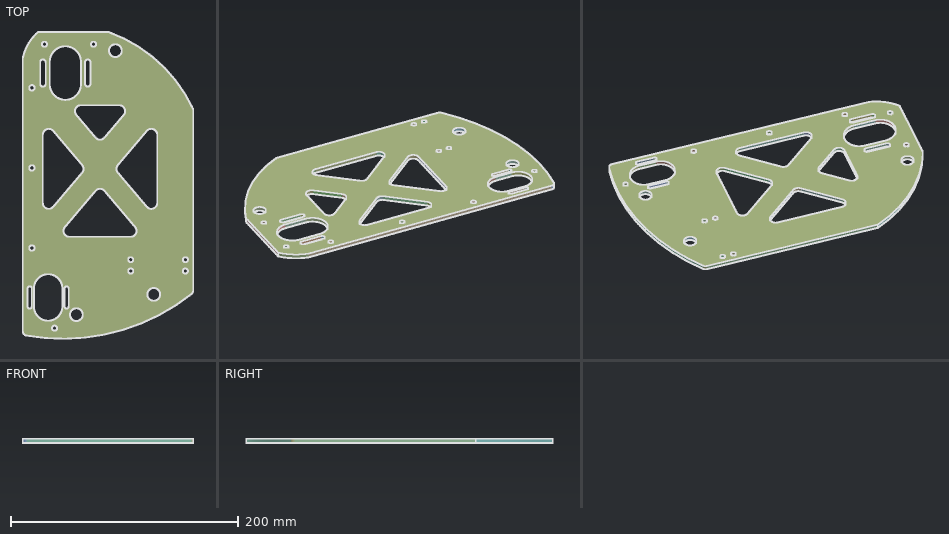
import cadquery as cq
import math

width = 150.0
height = 270.0
thickness = 4.0

left_arc_start = (0, 247.0)
left_arc_middle = (5.0, 260.0)
top_edge_left = 13.5
top_edge_right = 75.5
right_arc_middle = (112.3, 249.7)
right_edge_top = 202.0
bottom_arc_radius = 182.2
bottom_arc_center_x = 35.4
lower_corner_radius = 4.0

window_left = 17.8
window_right = 118.2
window_middle_x = (window_left + window_right) / 2
strut_slope = 1.18
side_window_depth = 37.2
side_window_center_y = 149.5
top_window_edge = 205.5
top_window_depth = 33.0
bottom_window_edge = 90.0
bottom_window_depth = 44.8
window_corner_radius = 5.0

screw_hole_diameter = 4.3
edge_hole_diameter = 4.5
large_hole_diameter = 11.0
edge_hole_x = 8.0
edge_hole_bottom = 80.0
edge_hole_pitch = 70.5
edge_hole_count = 3
bracket_hole_xs = (95.0, 143.0)
bracket_hole_ys = (59.7, 69.6)
end_hole_points = [(19.2, 259.0), (62.3, 259.0), (28.0, 9.5)]
large_hole_points = [(81.5, 253.5), (115.3, 39.1), (47.2, 21.3)]

upper_slots = dict(
    center=(37.5, 233.7), wide_size=(27.3, 47.0), narrow_size=(4.5, 23.8), narrow_spacing=19.7
)
lower_slots = dict(
    center=(22.5, 36.5), wide_size=(24.8, 40.8), narrow_size=(3.5, 19.5), narrow_spacing=16.2
)


def bottom_arc_y(x):
    """Height of the bottom arc, whose lowest point is at y = 0."""
    offset = x - bottom_arc_center_x
    return bottom_arc_radius - math.sqrt(bottom_arc_radius**2 - offset**2)


def make_plate():
    plate = (
        cq.Workplane("XY")
        .moveTo(0, bottom_arc_y(0))
        .lineTo(*left_arc_start)
        .threePointArc(left_arc_middle, (top_edge_left, height))
        .lineTo(top_edge_right, height)
        .threePointArc(right_arc_middle, (width, right_edge_top))
        .lineTo(width, bottom_arc_y(width))
        .threePointArc((bottom_arc_center_x, 0), (0, bottom_arc_y(0)))
        .close()
        .extrude(thickness)
    )
    for x in (0, width):
        corner = cq.selectors.NearestToPointSelector((x, bottom_arc_y(x), thickness / 2))
        plate = plate.edges("|Z").edges(corner).fillet(lower_corner_radius)
    return plate


def window(points):
    """Triangular cutter with rounded corners."""
    prism = cq.Workplane("XY").polyline(points).close().extrude(thickness)
    return prism.edges("|Z").fillet(window_corner_radius)


def side_window(edge_x, direction):
    """Window with an upright outer edge and its tip pointing along direction in X."""
    half_edge = side_window_depth * strut_slope
    return window([
        (edge_x, side_window_center_y - half_edge),
        (edge_x, side_window_center_y + half_edge),
        (edge_x + direction * side_window_depth, side_window_center_y),
    ])


def end_window(edge_y, depth, direction):
    """Window with a level outer edge and its tip pointing along direction in Y."""
    half_edge = depth / strut_slope
    return window([
        (window_middle_x - half_edge, edge_y),
        (window_middle_x + half_edge, edge_y),
        (window_middle_x, edge_y + direction * depth),
    ])


def round_holes(points, diameter):
    return cq.Workplane("XY").pushPoints(points).circle(diameter / 2).extrude(thickness)


def upright_slots(points, size):
    slot_width, slot_length = size
    return cq.Workplane("XY").pushPoints(points).slot2D(slot_length, slot_width, 90).extrude(thickness)


def slot_group(center, wide_size, narrow_size, narrow_spacing):
    x, y = center
    narrow_points = [(x - narrow_spacing, y), (x + narrow_spacing, y)]
    return upright_slots([center], wide_size).union(upright_slots(narrow_points, narrow_size))


edge_hole_points = [(edge_hole_x, edge_hole_bottom + i * edge_hole_pitch) for i in range(edge_hole_count)]
bracket_hole_points = [(x, y) for x in bracket_hole_xs for y in bracket_hole_ys]

cutters = [
    side_window(window_left, 1),
    side_window(window_right, -1),
    end_window(top_window_edge, top_window_depth, -1),
    end_window(bottom_window_edge, bottom_window_depth, 1),
    round_holes(edge_hole_points, edge_hole_diameter),
    round_holes(bracket_hole_points + end_hole_points, screw_hole_diameter),
    round_holes(large_hole_points, large_hole_diameter),
    slot_group(**upper_slots),
    slot_group(**lower_slots),
]

result = make_plate()
for cutter in cutters:
    result = result.cut(cutter)